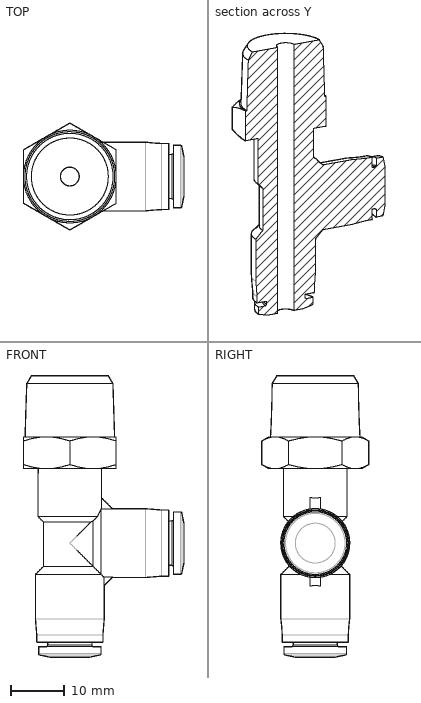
import cadquery as cq
import math


TOP_Z = 31.5
THREAD_LENGTH = 11.5
THREAD_TAPER = 1 / 16
THREAD_BASE_RADIUS = 8.45
THREAD_CHAMFER_HEIGHT = 1.5
THREAD_TIP_RADIUS = 7.25
HEX_SIDES = 6
HEX_HEIGHT = 6.0
HEX_ACROSS_CORNERS = 20.16
HEX_CHAMFER_ANGLE = 30.0
STEM_RADIUS = 6.0
CORE_RADIUS = 5.0
STEM_BOTTOM_Z = 5.0
BORE_DIAMETER = 3.5

PORT_RADIUS = 6.5
PORT_SHOULDER = 5.9
PORT_TAPER_START = 14.25
RIM_START = 17.3
RIM_END = 18.7
RIM_RADIUS = 6.25
RIM_CHAMFER = 0.12
NECK_RADIUS = 8.35 / 2
NECK_FLARE_START = 19.2
NECK_FLARE_RADIUS = 4.35
COLLAR_START = 19.5
COLLAR_RADIUS = 11.8 / 2
COLLAR_ROUND = 0.3
COLLAR_ROUND_START = 20.8
COLLAR_FACE_RADIUS = 3.75
PORT_END = 21.5

GUSSET_REACH = 14.5
GUSSET_THICKNESS = 2.0

HEX_TOP_Z = TOP_Z - THREAD_LENGTH
HEX_BOTTOM_Z = HEX_TOP_Z - HEX_HEIGHT
HEX_CORNER_RADIUS = HEX_ACROSS_CORNERS / 2
HEX_FLAT_RADIUS = HEX_CORNER_RADIUS * math.cos(math.pi / HEX_SIDES)


def make_port():
    """Solid port, turned about Z and pointing up from the crossing."""
    shoulder_start = PORT_SHOULDER - (PORT_RADIUS - CORE_RADIUS)
    round_mid_radius = COLLAR_RADIUS - COLLAR_ROUND * (1 - math.cos(math.pi / 4))
    round_mid = COLLAR_ROUND_START + COLLAR_ROUND * math.sin(math.pi / 4)
    profile = (
        cq.Workplane("XZ")
        .lineTo(CORE_RADIUS, 0)
        .lineTo(CORE_RADIUS, shoulder_start)
        .lineTo(PORT_RADIUS, PORT_SHOULDER)
        .lineTo(PORT_RADIUS, PORT_TAPER_START)
        .lineTo(RIM_RADIUS, RIM_START)
        .lineTo(RIM_RADIUS, RIM_END - RIM_CHAMFER)
        .lineTo(RIM_RADIUS - RIM_CHAMFER, RIM_END)
        .lineTo(NECK_RADIUS, RIM_END)
        .lineTo(NECK_RADIUS, NECK_FLARE_START)
        .lineTo(NECK_FLARE_RADIUS, COLLAR_START)
        .lineTo(COLLAR_RADIUS, COLLAR_START)
        .lineTo(COLLAR_RADIUS, COLLAR_ROUND_START)
        .threePointArc(
            (round_mid_radius, round_mid),
            (COLLAR_RADIUS - COLLAR_ROUND, COLLAR_ROUND_START + COLLAR_ROUND),
        )
        .lineTo(COLLAR_FACE_RADIUS, PORT_END)
        .lineTo(0, PORT_END)
        .close()
    )
    return profile.revolve(360, (0, 0, 0), (0, 1, 0))


def make_stem_and_thread():
    """Upper run: core, stem with a 45 degree shoulder, and the tapered thread blank."""
    shoulder_end = STEM_BOTTOM_Z - (STEM_RADIUS - CORE_RADIUS)
    thread_top_z = TOP_Z - THREAD_CHAMFER_HEIGHT
    thread_top_radius = THREAD_BASE_RADIUS - (thread_top_z - HEX_TOP_Z) * THREAD_TAPER / 2
    profile = (
        cq.Workplane("XZ")
        .lineTo(CORE_RADIUS, 0)
        .lineTo(CORE_RADIUS, shoulder_end)
        .lineTo(STEM_RADIUS, STEM_BOTTOM_Z)
        .lineTo(STEM_RADIUS, HEX_TOP_Z)
        .lineTo(THREAD_BASE_RADIUS, HEX_TOP_Z)
        .lineTo(thread_top_radius, thread_top_z)
        .lineTo(THREAD_TIP_RADIUS, TOP_Z)
        .lineTo(0, TOP_Z)
        .close()
    )
    return profile.revolve(360, (0, 0, 0), (0, 1, 0))


def make_hexagon():
    """Hexagon with corners on +/-Y, its corners chamfered conically at both ends."""
    corner_drop = (HEX_CORNER_RADIUS - HEX_FLAT_RADIUS) * math.tan(math.radians(HEX_CHAMFER_ANGLE))
    prism = (
        cq.Workplane("XY", origin=(0, 0, HEX_BOTTOM_Z))
        .polygon(HEX_SIDES, HEX_ACROSS_CORNERS)
        .extrude(HEX_HEIGHT)
        .rotate((0, 0, 0), (0, 0, 1), 180 / HEX_SIDES)
    )
    envelope = (
        cq.Workplane("XZ")
        .moveTo(0, HEX_BOTTOM_Z)
        .lineTo(HEX_FLAT_RADIUS, HEX_BOTTOM_Z)
        .lineTo(HEX_CORNER_RADIUS, HEX_BOTTOM_Z + corner_drop)
        .lineTo(HEX_CORNER_RADIUS, HEX_TOP_Z - corner_drop)
        .lineTo(HEX_FLAT_RADIUS, HEX_TOP_Z)
        .lineTo(0, HEX_TOP_Z)
        .close()
        .revolve(360, (0, 0, 0), (0, 1, 0))
    )
    return prism.intersect(envelope)


def make_gussets():
    """Right-angled web whose two sloping edges brace the side port above and below."""
    return (
        cq.Workplane("XZ")
        .polyline([(0, -GUSSET_REACH), (GUSSET_REACH, 0), (0, GUSSET_REACH)])
        .close()
        .extrude(GUSSET_THICKNESS / 2, both=True)
    )


def make_bore():
    """Straight passage through the full length of the run."""
    return (
        cq.Workplane("XY", origin=(0, 0, -PORT_END))
        .circle(BORE_DIAMETER / 2)
        .extrude(TOP_Z + PORT_END)
    )


port = make_port()
bottom_port = port.rotate((0, 0, 0), (1, 0, 0), 180)
side_port = port.rotate((0, 0, 0), (0, 1, 0), 90)

body = make_stem_and_thread().union(make_hexagon())
body = body.union(bottom_port).union(side_port).union(make_gussets())

result = body.cut(make_bore())